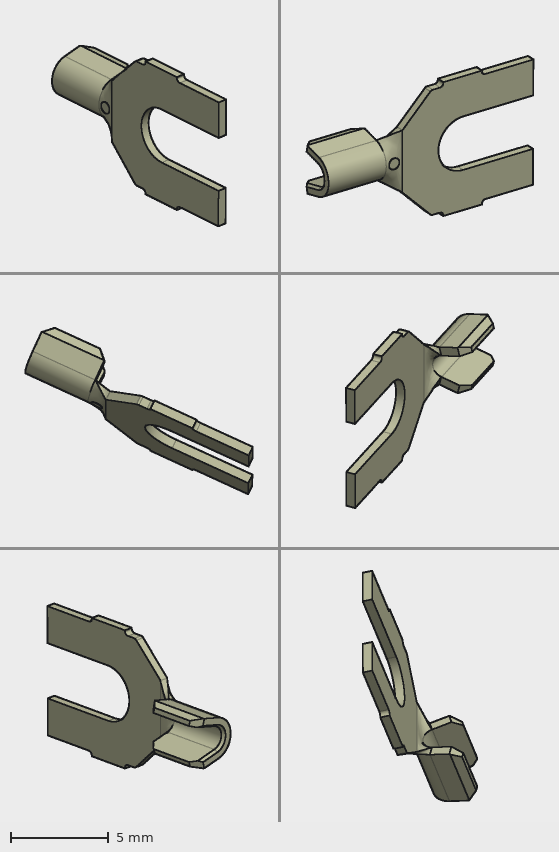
import cadquery as cq
import math


sheet = 0.508
total_length = 12.7
total_depth = 2.54
total_width = 7.65

barrel_length = 3.556
barrel_radius = 1.163
bore_radius = barrel_radius - sheet
flare = math.radians(13.2)
bevel_start_depth = 1.97
tip_thickness = 0.28
wing_corner = 0.5
mouth_chamfer = 0.13
mouth_depth = 0.18

neck_end = 4.572
neck_half_width = 1.778
pad_radius = 0.32
crest_x = (barrel_length + neck_end) / 2
crest_height = 0.68
crest_front_half_width = 0.4

shoulder_half_width = 3.575
shoulder_x = neck_end + shoulder_half_width - neck_half_width
shoulder_fillet = 0.2
tab_start = 7.11
tab_end = 9.51
tab_fillet = 0.2
slot_half_width = 1.524
slot_bottom = 6.81
end_skew = 0.03


def wing_point(along, across):
    """YZ point of the upper wing: distance along the wing and distance from the barrel axis."""
    y = barrel_radius + along * math.cos(flare) - across * math.sin(flare)
    z = along * math.sin(flare) + across * math.cos(flare)
    return (y, z)


def mirrored(point):
    return (point[0], -point[1])


wing_length = (total_depth - barrel_radius + bore_radius * math.sin(flare)) / math.cos(flare)
bevel_start = (bevel_start_depth - barrel_radius + barrel_radius * math.sin(flare)) / math.cos(flare)


def barrel_blank():
    root = wing_point(0, barrel_radius)
    upper_wing = [
        wing_point(bevel_start, barrel_radius),
        wing_point(wing_length, bore_radius + tip_thickness),
        wing_point(wing_length, bore_radius),
    ]
    outline = cq.Workplane("YZ").moveTo(*mirrored(root)).threePointArc((0, 0), root)
    for point in upper_wing:
        outline = outline.lineTo(*point)
    for point in reversed(upper_wing):
        outline = outline.lineTo(*mirrored(point))
    return outline.close().extrude(barrel_length)


def bore_outline(plane, radius):
    """Open-sided U of the bore, running past the wing tips."""
    root = wing_point(0, radius)
    mouth = wing_point(2 * wing_length, radius)
    return (
        plane.moveTo(*mirrored(root))
        .threePointArc((barrel_radius - radius, 0), root)
        .lineTo(*mouth)
        .lineTo(*mirrored(mouth))
        .close()
    )


def barrel_bore():
    straight = bore_outline(cq.Workplane("YZ"), bore_radius).extrude(barrel_length)
    mouth = bore_outline(cq.Workplane("YZ"), bore_radius + mouth_chamfer)
    mouth = bore_outline(mouth.workplane(offset=mouth_depth), bore_radius).loft(ruled=True)
    return straight.union(mouth)


def wing_corner_cuts():
    """Triangular prisms that clip both tip corners of each wing, square to the wing."""
    tip = wing_point(wing_length, 0)
    plane = cq.Plane(
        origin=(0, tip[0], tip[1]),
        xDir=(1, 0, 0),
        normal=(0, -math.sin(flare), math.cos(flare)),
    )
    cuts = cq.Workplane("XY")
    for corner, inward in ((0, wing_corner), (barrel_length, -wing_corner)):
        triangle = [(corner, 0), (corner + inward, 0), (corner, -wing_corner)]
        cuts = cuts.add(cq.Workplane(plane).polyline(triangle).close().extrude(2 * barrel_radius))
    upper = cuts.combine()
    return upper.union(upper.mirror("XY"))


def make_barrel():
    return barrel_blank().cut(barrel_bore()).cut(wing_corner_cuts())


def neck_crest():
    """Low ridge across the neck floor, directly behind the pad."""
    ridge = (
        cq.Workplane("XY")
        .polyline([
            (barrel_length, sheet / 2),
            (barrel_length, sheet),
            (crest_x, crest_height),
            (neck_end, sheet),
        ])
        .close()
        .extrude(neck_half_width, both=True)
    )
    plan = (
        cq.Workplane("XZ")
        .polyline([
            (barrel_length, -crest_front_half_width),
            (neck_end, -neck_half_width),
            (neck_end, neck_half_width),
            (barrel_length, crest_front_half_width),
        ])
        .close()
        .extrude(-total_depth)
    )
    return ridge.intersect(plan)


def make_neck():
    """Ruled blend from the barrel floor to the plate, with a round pad below and a ridge above."""
    outer = wing_point(0, barrel_radius)
    inner = wing_point(0, bore_radius)
    blend = (
        cq.Workplane("YZ", origin=(barrel_length, 0, 0))
        .moveTo(*mirrored(outer))
        .threePointArc((0, 0), outer)
        .lineTo(*inner)
        .threePointArc((sheet, 0), mirrored(inner))
        .close()
        .workplane(offset=neck_end - barrel_length)
        .moveTo(0, -neck_half_width)
        .lineTo(0, neck_half_width)
        .lineTo(sheet, neck_half_width)
        .lineTo(sheet, -neck_half_width)
        .close()
        .loft(ruled=True)
    )
    pad = cq.Workplane("XZ").center(crest_x, 0).circle(pad_radius).extrude(-sheet / 2)
    return blend.union(pad).union(neck_crest())


def make_plate():
    body = (
        cq.Workplane("XZ")
        .polyline([
            (neck_end, -neck_half_width),
            (shoulder_x, -shoulder_half_width),
            (total_length - end_skew, -shoulder_half_width),
            (total_length, shoulder_half_width),
            (shoulder_x, shoulder_half_width),
            (neck_end, neck_half_width),
        ])
        .close()
        .extrude(-sheet)
    )
    tabs = (
        cq.Workplane("XZ")
        .center((tab_start + tab_end) / 2, 0)
        .rect(tab_end - tab_start, total_width)
        .extrude(-sheet)
    )
    plate = body.union(tabs)
    for side in (-1, 1):
        for x, radius in ((shoulder_x, shoulder_fillet), (tab_start, tab_fillet), (tab_end, tab_fillet)):
            corner = (x, sheet / 2, side * shoulder_half_width)
            plate = plate.edges(cq.NearestToPointSelector(corner)).fillet(radius)
    slot_centre = slot_bottom + slot_half_width
    slot = (
        cq.Workplane("XZ")
        .moveTo(total_length, slot_half_width)
        .lineTo(slot_centre, slot_half_width)
        .threePointArc((slot_bottom, 0), (slot_centre, -slot_half_width))
        .lineTo(total_length, -slot_half_width)
        .close()
        .extrude(-sheet)
    )
    return plate.cut(slot)


result = make_plate().union(make_neck()).union(make_barrel())